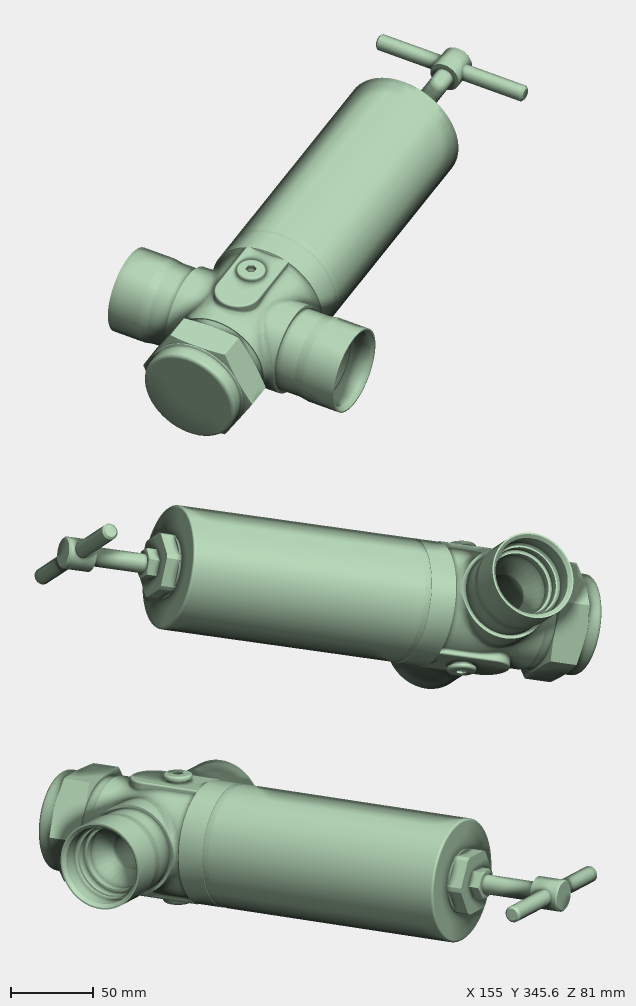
import cadquery as cq
import math


cap_end_y = -68.0
cap_hex_bottom_y = -57.5
cap_hex_top_y = -37.5
body_bottom_y = -31.3
taper_bottom_y = -20.8
taper_top_y = 12.5
flange_bottom_y = 33.0
bonnet_bottom_y = 49.2
bonnet_top_y = 207.8
lower_nut_top_y = 217.6
locknut_top_y = 224.4
handle_head_bottom_y = 259.5
handle_top_y = cap_end_y + 345.6

shell_radius = 35.5
shell_bottom_radius = 32.0
flange_radius = 38.0
flange_root_fillet = 2.4
joining_tolerance = 0.001
hub_radius = 28.3
hub_face_x = 37.0
hub_blend = 4.0
bore_radius = 12.3

pad_width = 29.0
pad_face_z = 36.0
pad_round_center_y = -4.5
pad_edge_fillet = 1.2
pad_root_fillet = 1.3
plug_y = 12.0
plug_top_z = 40.5
plug_head_radius = 9.0
plug_head_height = 2.6
plug_neck_radius = 7.0
plug_edge_fillet = 1.6
plug_socket_flats = 6.0
plug_socket_depth = 2.5

nipple_end_x = 155.0 / 2
nipple_radius = 27.0
nipple_neck_radius = 26.0
nipple_neck_end_x = 50.5
nipple_taper_end_x = 56.6
mouth_radius = 26.0
socket_radius = 24.1
mouth_chamfer = 1.9
socket_depth = 13.0
socket_step_chamfer = 1.2
relief_radius = 21.8
relief_depth = 20.0
funnel_radius = 19.6
funnel_start_depth = 26.0

cap_radius = 31.0
cap_hex_flats = 65.0
cap_hex_chamfer_angle = 15.0
cap_shoulder_radius = 32.2
cap_shoulder_height = 1.3
cap_end_fillet = 2.5

bonnet_edge_fillet = 1.4
bonnet_foot_height = 4.1
bonnet_foot_inset = 0.4
lower_nut_flats = 36.0
lower_nut_corner_radius = 20.0
lower_nut_collar_radius = 19.6
lower_nut_collar_height = 1.3
locknut_flats = 17.0
locknut_chamfer_angle = 30.0
spindle_radius = 6.0
handle_head_radius = 9.8
handle_head_chamfer = 1.0
bar_radius = 5.1
bar_length = 100.8
bar_center_y = 269.0
bar_end_chamfer = 1.4


def y_cylinder(radius, y_start, y_end):
    """Cylinder on the main axis."""
    return cq.Workplane("XZ", origin=(0, y_start, 0)).circle(radius).extrude(y_start - y_end)


def x_cylinder(radius, x_start, x_end):
    """Cylinder on the pipe axis."""
    return cq.Workplane("YZ", origin=(x_start, 0, 0)).circle(radius).extrude(x_end - x_start)


def y_hexagon(flats, y_start, y_end):
    """Hexagonal prism on the main axis with corners on +X and -X."""
    corner_diameter = flats / math.cos(math.radians(30))
    return cq.Workplane("XZ", origin=(0, y_start, 0)).polygon(6, corner_diameter).extrude(y_start - y_end)


def chamfered_hexagon(flats, y_start, y_end, chamfer_angle, chamfer_start=True):
    """Hexagonal prism whose corners are turned down at the end and, if asked, at the start."""
    face_radius = flats / 2
    corner_radius = face_radius / math.cos(math.radians(30))
    drop = (corner_radius - face_radius) * math.tan(math.radians(chamfer_angle))
    start_radius = face_radius if chamfer_start else corner_radius
    envelope = (
        cq.Workplane("XY")
        .moveTo(0, y_start)
        .lineTo(start_radius, y_start)
        .lineTo(corner_radius, y_start + drop)
        .lineTo(corner_radius, y_end - drop)
        .lineTo(face_radius, y_end)
        .lineTo(0, y_end)
        .close()
        .revolve(360, (0, 0, 0), (0, 1, 0))
    )
    return y_hexagon(flats, y_start, y_end).intersect(envelope)


def make_pads():
    """Flat round-ended pads standing on both sides of the barrel."""
    half_width = pad_width / 2
    outline = (
        cq.Workplane("XY", origin=(0, 0, -pad_face_z))
        .moveTo(-half_width, bonnet_bottom_y)
        .lineTo(-half_width, pad_round_center_y)
        .threePointArc((0, pad_round_center_y - half_width), (half_width, pad_round_center_y))
        .lineTo(half_width, bonnet_bottom_y)
        .close()
        .extrude(2 * pad_face_z)
    )
    rims = outline.faces("|Z").edges("not(>Y)")
    return rims.fillet(pad_edge_fillet)


def pad_root_edges(side):
    """Selector for the edges where a pad meets the barrel; side is +1 for +Z and -1 for -Z."""
    margin = 0.1
    half_width = pad_width / 2 + margin
    root_top_z = shell_radius - 2
    root_bottom_z = shell_bottom_radius - 4
    return cq.selectors.BoxSelector(
        (-half_width, pad_round_center_y - half_width, side * root_bottom_z),
        (half_width, bonnet_bottom_y + margin, side * root_top_z),
        boundingbox=True,
    )


def make_shell():
    """Smoothly tapered barrel with blended pipe hubs and gauge pads, faced off at its four ends."""
    rough_hub_x = hub_face_x + 3 * hub_blend
    rough_bottom_y = body_bottom_y - 3 * hub_blend
    along_axis = (0, 1)
    barrel = (
        cq.Workplane("XY")
        .moveTo(0, rough_bottom_y)
        .lineTo(shell_bottom_radius, rough_bottom_y)
        .lineTo(shell_bottom_radius, taper_bottom_y)
        .spline([(shell_radius, taper_top_y)], tangents=[along_axis, along_axis], includeCurrent=True)
        .lineTo(shell_radius, bonnet_bottom_y)
        .lineTo(0, bonnet_bottom_y)
        .close()
        .revolve(360, (0, 0, 0), (0, 1, 0))
    )
    hubs = x_cylinder(hub_radius, -rough_hub_x, rough_hub_x)
    blended = barrel.union(hubs).edges("%BSPLINE").fillet(hub_blend)
    padded = blended.union(make_pads())
    for side in (1, -1):
        padded = padded.edges(pad_root_edges(side)).fillet(pad_root_fillet)
    trim_length = flange_bottom_y - body_bottom_y
    trim_middle_y = (flange_bottom_y + body_bottom_y) / 2
    trim = cq.Workplane("XY").box(2 * hub_face_x, trim_length, 3 * shell_radius)
    return padded.intersect(trim.translate((0, trim_middle_y, 0)))


def make_flange():
    """Bonnet flange with a concave fillet down to the barrel."""
    root_center_radius = shell_radius + flange_root_fillet
    root_center_y = flange_bottom_y - flange_root_fillet
    diagonal = flange_root_fillet * math.sqrt(0.5)
    return (
        cq.Workplane("XY")
        .moveTo(0, root_center_y)
        .lineTo(shell_radius, root_center_y)
        .threePointArc(
            (root_center_radius - diagonal, root_center_y + diagonal),
            (root_center_radius, flange_bottom_y),
        )
        .lineTo(flange_radius, flange_bottom_y)
        .lineTo(flange_radius, bonnet_bottom_y)
        .lineTo(0, bonnet_bottom_y)
        .close()
        .revolve(360, (0, 0, 0), (0, 1, 0))
    )


def make_body():
    """Valve body: shell and flange with the flow bore through both hubs."""
    bore = x_cylinder(bore_radius, -hub_face_x, hub_face_x)
    return make_shell().union(make_flange(), tol=joining_tolerance).cut(bore)


def make_plug(side):
    """Gauge-port plug with a hexagon socket; side is +1 for +Z and -1 for -Z."""
    head_bottom_z = plug_top_z - plug_head_height
    neck = (
        cq.Workplane("XY", origin=(0, plug_y, pad_face_z))
        .circle(plug_neck_radius)
        .extrude(head_bottom_z - pad_face_z)
    )
    head = (
        cq.Workplane("XY", origin=(0, plug_y, head_bottom_z))
        .circle(plug_head_radius)
        .extrude(plug_head_height)
        .faces(">Z")
        .edges()
        .fillet(plug_edge_fillet)
    )
    socket = (
        cq.Workplane("XY", origin=(0, plug_y, plug_top_z))
        .transformed(rotate=(0, 0, 30))
        .polygon(6, plug_socket_flats / math.cos(math.radians(30)))
        .extrude(-plug_socket_depth)
    )
    plug = neck.union(head).cut(socket)
    return plug if side > 0 else plug.mirror("XY")


def make_nipple(side):
    """Stepped pipe socket; side is +1 for +X and -1 for -X."""
    nipple = (
        cq.Workplane("XY")
        .moveTo(hub_face_x, bore_radius)
        .lineTo(hub_face_x, nipple_neck_radius)
        .lineTo(nipple_neck_end_x, nipple_neck_radius)
        .lineTo(nipple_taper_end_x, nipple_radius)
        .lineTo(nipple_end_x, nipple_radius)
        .lineTo(nipple_end_x, mouth_radius)
        .lineTo(nipple_end_x - mouth_chamfer, socket_radius)
        .lineTo(nipple_end_x - socket_depth, socket_radius)
        .lineTo(nipple_end_x - socket_depth - socket_step_chamfer, socket_radius - socket_step_chamfer)
        .lineTo(nipple_end_x - socket_depth - socket_step_chamfer, relief_radius)
        .lineTo(nipple_end_x - relief_depth, relief_radius)
        .lineTo(nipple_end_x - relief_depth, funnel_radius)
        .lineTo(nipple_end_x - funnel_start_depth, funnel_radius)
        .close()
        .revolve(360, (0, 0, 0), (1, 0, 0))
    )
    return nipple if side > 0 else nipple.mirror("YZ")


def make_cap():
    """Blind cap: round neck, wrench hexagon, chamfered shoulder and rounded end."""
    barrel = y_cylinder(cap_radius, cap_end_y, body_bottom_y).faces("<Y").edges().fillet(cap_end_fillet)
    hexagon = chamfered_hexagon(cap_hex_flats, cap_hex_bottom_y, cap_hex_top_y, cap_hex_chamfer_angle)
    shoulder_bottom_y = cap_hex_bottom_y - cap_shoulder_height
    shoulder = (
        y_cylinder(cap_shoulder_radius, shoulder_bottom_y, cap_hex_bottom_y)
        .faces("<Y")
        .chamfer(cap_shoulder_height / 2, cap_shoulder_radius - cap_radius)
    )
    return barrel.union(hexagon).union(shoulder)


def make_bonnet():
    """Spring bonnet with a rounded top edge and a slightly tapered foot."""
    bonnet = y_cylinder(flange_radius, bonnet_bottom_y, bonnet_top_y)
    rounded = bonnet.faces(">Y").edges().fillet(bonnet_edge_fillet)
    return rounded.faces("<Y").chamfer(bonnet_foot_height, bonnet_foot_inset)


def make_lower_nut():
    """Large nut with turned-down corners on a thin round collar."""
    corners = y_cylinder(lower_nut_corner_radius, bonnet_top_y, lower_nut_top_y)
    collar = y_cylinder(lower_nut_collar_radius, bonnet_top_y, bonnet_top_y + lower_nut_collar_height)
    spindle_hole = y_cylinder(spindle_radius, bonnet_top_y, lower_nut_top_y)
    hexagon = y_hexagon(lower_nut_flats, bonnet_top_y, lower_nut_top_y)
    return hexagon.intersect(corners).union(collar).cut(spindle_hole)


def make_locknut():
    """Small hexagon nut clamped on the large nut."""
    spindle_hole = y_cylinder(spindle_radius, lower_nut_top_y, locknut_top_y)
    hexagon = chamfered_hexagon(
        locknut_flats, lower_nut_top_y, locknut_top_y, locknut_chamfer_angle, chamfer_start=False
    )
    return hexagon.cut(spindle_hole)


def make_handle():
    """Spindle with a round head and a cross bar, resting on the bonnet."""
    spindle = y_cylinder(spindle_radius, bonnet_top_y, handle_head_bottom_y)
    head = (
        y_cylinder(handle_head_radius, handle_head_bottom_y, handle_top_y)
        .faces(">Y")
        .edges()
        .chamfer(handle_head_chamfer)
    )
    bar = (
        x_cylinder(bar_radius, -bar_length / 2, bar_length / 2)
        .faces("|X")
        .edges()
        .chamfer(bar_end_chamfer)
        .translate((0, bar_center_y, 0))
    )
    return spindle.union(head).union(bar)


body = make_body()
cap = make_cap()
bonnet = make_bonnet()
lower_nut = make_lower_nut()
locknut = make_locknut()
handle = make_handle()
plugs = [make_plug(side) for side in (1, -1)]
nipples = [make_nipple(side) for side in (1, -1)]

bodies = [body, cap, bonnet, lower_nut, locknut, handle, *plugs, *nipples]
result = cq.Compound.makeCompound([part.val() for part in bodies])